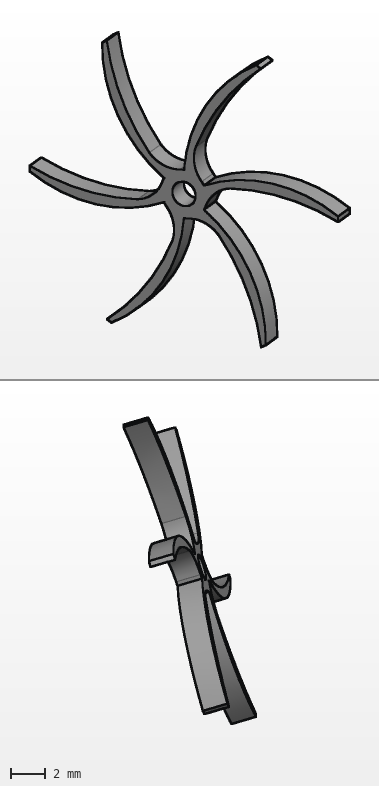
import cadquery as cq
import math

arm_count = 6
tip_radius = 10.0
thickness = 1.5
bore_diameter = 1.5
hub_radius = 1.5
tip_width = 0.35
hub_land_angle = 10.0

back_crest = (5.15, 1.65)
fillet_middle = (1.95, 0.32)
fillet_end = (3.0, 0.85)
inner_middle = (6.15, 0.95)

arm_pitch = 360 / arm_count
half_pitch = math.radians(arm_pitch / 2)
land_middle_angle = -half_pitch + math.radians(hub_land_angle / 2)
land_end_angle = -half_pitch + math.radians(hub_land_angle)
tip_angle = 2 * math.asin(tip_width / (2 * tip_radius))


def polar_point(radius, angle):
    """XZ point at a radius and an angle (radians) from +X."""
    return (radius * math.cos(angle), radius * math.sin(angle))


def extrude_centred(sketch):
    """Extrude an XZ outline equally to both sides of the XZ plane."""
    return sketch.extrude(thickness / 2, both=True)


def make_arm():
    """Curved, tapering arm together with its sector of the hub."""
    outline = (
        cq.Workplane("XZ")
        .moveTo(0, 0)
        .lineTo(*polar_point(hub_radius, -half_pitch))
        .threePointArc(
            polar_point(hub_radius, land_middle_angle),
            polar_point(hub_radius, land_end_angle),
        )
        .threePointArc(fillet_middle, fillet_end)
        .threePointArc(inner_middle, (tip_radius, 0))
        .lineTo(*polar_point(tip_radius, tip_angle))
        .threePointArc(back_crest, polar_point(hub_radius, half_pitch))
        .close()
    )
    return extrude_centred(outline)


arm = make_arm()
result = arm
for index in range(1, arm_count):
    result = result.union(arm.rotate((0, 0, 0), (0, 1, 0), index * arm_pitch))

bore = extrude_centred(cq.Workplane("XZ").circle(bore_diameter / 2))
result = result.cut(bore).clean()